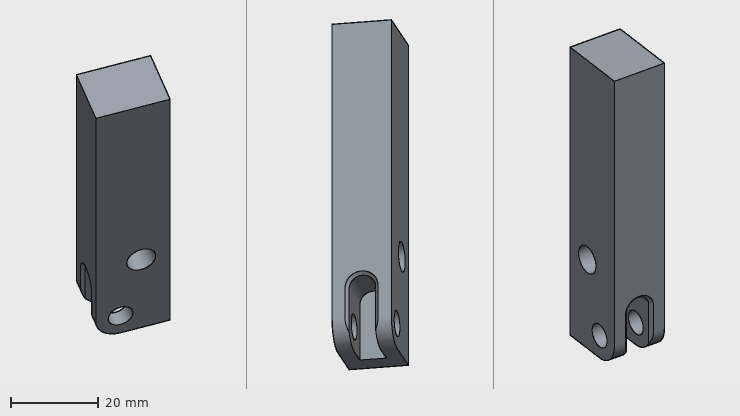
import cadquery as cq

width = 14.0
depth = 18.0
height = 78.0
corner_radius = 6.0

pin_diameter = 6.0
pin_inset = corner_radius
bolt_diameter = 7.0
bolt_inset = 7.0
bolt_height = 24.0

slot_width = 6.25
slot_arc_height = 13.4
slot_depth = 2 * pin_inset
slot_chamfer = 0.8

front_y = -depth / 2
back_y = depth / 2


def slot_profile(half_width):
    """Round-topped slot outline on the front face, extruding toward +Y."""
    front_plane = cq.Plane(origin=(0, front_y, 0), xDir=(-1, 0, 0), normal=(0, 1, 0))
    return (
        cq.Workplane(front_plane)
        .moveTo(-half_width, 0)
        .lineTo(-half_width, slot_arc_height)
        .threePointArc((0, slot_arc_height + half_width), (half_width, slot_arc_height))
        .lineTo(half_width, 0)
        .close()
    )


def cross_hole(diameter, y, z):
    """Cylinder along X through the full width of the bar."""
    return (
        cq.Workplane("YZ")
        .center(y, z)
        .circle(diameter / 2)
        .extrude(width / 2, both=True)
    )


bar = cq.Workplane("XY").box(width, depth, height, centered=(True, True, False))
bar = bar.edges("<Y and <Z").fillet(corner_radius)

slot = slot_profile(slot_width / 2).extrude(slot_depth)
mouth_half_width = slot_width / 2 + slot_chamfer
mouth_arc = cq.Workplane(
    cq.Solid.makeCone(
        mouth_half_width,
        slot_width / 2,
        slot_chamfer,
        cq.Vector(0, front_y, slot_arc_height),
        cq.Vector(0, 1, 0),
    )
)
mouth_sides = (
    cq.Workplane("XY")
    .polyline(
        [
            (-mouth_half_width, front_y),
            (mouth_half_width, front_y),
            (slot_width / 2, front_y + slot_chamfer),
            (-slot_width / 2, front_y + slot_chamfer),
        ]
    )
    .close()
    .extrude(slot_arc_height)
)

bar = bar.cut(slot).cut(mouth_arc).cut(mouth_sides)

bar = bar.cut(cross_hole(pin_diameter, front_y + pin_inset, pin_inset))
result = bar.cut(cross_hole(bolt_diameter, back_y - bolt_inset, bolt_height))